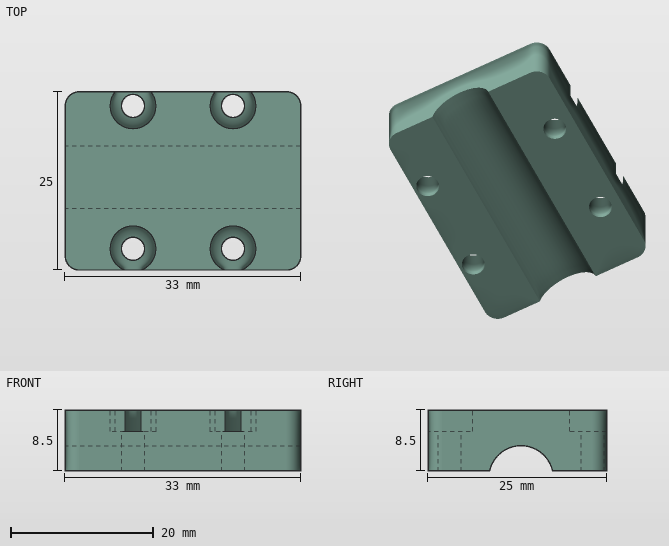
import cadquery as cq

LENGTH = 33.0
WIDTH = 25.0
HEIGHT = 8.5
CORNER_RADIUS = 2.0

CHANNEL_RADIUS = 4.5
CHANNEL_DEPTH = 3.5
CHANNEL_Y = 0.5

HOLE_DIAMETER = 3.2
HOLE_SPACING_X = 14.0
HOLE_SPACING_Y = 20.0
COUNTERBORE_DIAMETER = 6.4
COUNTERBORE_DEPTH = 3.0


def make_block():
    """Flat block with rounded vertical corners, bottom face at Z = 0."""
    block = cq.Workplane("XY").box(LENGTH, WIDTH, HEIGHT, centered=(True, True, False))
    return block.edges("|Z").fillet(CORNER_RADIUS)


def cut_channel(body):
    """Cut the round channel through the full length of the underside."""
    axis_z = CHANNEL_DEPTH - CHANNEL_RADIUS
    channel = (
        cq.Workplane("YZ")
        .center(CHANNEL_Y, axis_z)
        .circle(CHANNEL_RADIUS)
        .extrude(LENGTH / 2, both=True)
    )
    return body.cut(channel)


def cut_screw_holes(body):
    """Cut four through holes whose counterbores break out of the long sides."""
    return (
        body.faces(">Z")
        .workplane(origin=(0, CHANNEL_Y, HEIGHT))
        .rarray(HOLE_SPACING_X, HOLE_SPACING_Y, 2, 2)
        .cboreHole(HOLE_DIAMETER, COUNTERBORE_DIAMETER, COUNTERBORE_DEPTH)
    )


result = cut_screw_holes(cut_channel(make_block()))